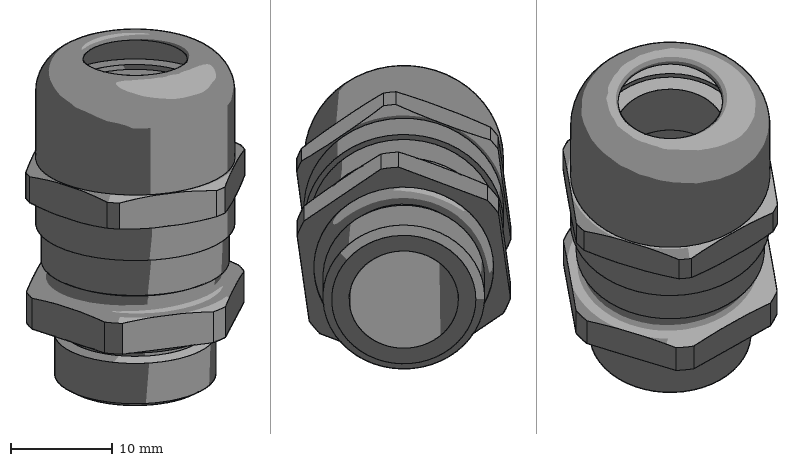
import cadquery as cq
import math

THREAD_CHAMFER_TOP = 0.55
THREAD_TOP = 4.83
UNDERCUT_BOTTOM = 5.25
FLANGE_BOTTOM = 7.05
FLANGE_TOP = 10.55
COLLAR_CHAMFER_BOTTOM = 12.2
COLLAR_BOTTOM = 12.6
CAP_BOTTOM = 16.53
CAP_HEX_BOTTOM = 20.05
CAP_HEX_TOP = 23.5
SPIGOT_TOP = 24.15
INSERT_STEP = 30.05
INSERT_TOP = 30.55
LIP_BOTTOM = 33.9
TOTAL_HEIGHT = 34.5

HEX_SIDES = 6
ACROSS_FLATS = 20.0
HEX_FACE_RADIUS = 10.1
CAP_HEX_CORNER_RADIUS = 11.2
CAP_HEX_CHAMFER = 0.35
FLANGE_CORNER_RADIUS = 11.07
FLANGE_CHAMFER = 0.25

BORE_RADIUS = 5.38
THREAD_RADIUS = 7.97
UNDERCUT_RADIUS = 7.1
NECK_RADIUS = 8.52
NECK_FILLET = 0.7
COLLAR_RADIUS = 9.28

RING_SECTION_RADIUS = 0.85
RING_BOTTOM = 6.05
RING_OUTER_RADIUS = 8.85
RING_CENTRE_RADIUS = RING_OUTER_RADIUS - RING_SECTION_RADIUS
RING_CENTRE_HEIGHT = RING_BOTTOM + RING_SECTION_RADIUS

INSERT_RADIUS = 8.45
INSERT_RECESS_RADIUS = 7.0

CAP_RADIUS = 9.83
DOME_ROUNDING = 3.97
LIP_RADIUS = 5.15
LIP_ROUNDING = 0.55

COS_45 = math.sqrt(0.5)


def cylinder(radius, bottom, top):
    """Solid cylinder on the gland axis between two heights."""
    return cq.Workplane("XY").workplane(offset=bottom).circle(radius).extrude(top - bottom)


def revolve_profile(profile):
    """Turn a closed XZ outline (radius, height) once around the gland axis."""
    return profile.close().revolve(360, (0, 0, 0), (0, 1, 0))


def hexagon(bottom, top, corner_radius, bottom_chamfer, top_chamfer):
    """Hexagonal prism, flats facing +X and -X, with its corners turned off round and chamfered."""
    height = top - bottom
    corner_diameter = ACROSS_FLATS / math.cos(math.pi / HEX_SIDES)
    prism = (
        cq.Workplane("XY")
        .workplane(offset=bottom)
        .transformed(rotate=(0, 0, 180 / HEX_SIDES))
        .polygon(HEX_SIDES, corner_diameter)
        .extrude(height)
    )
    blank = cq.Workplane("XZ").moveTo(0, bottom)
    if bottom_chamfer:
        blank = blank.lineTo(HEX_FACE_RADIUS, bottom)
    blank = (
        blank.lineTo(corner_radius, bottom + bottom_chamfer)
        .lineTo(corner_radius, top - top_chamfer)
        .lineTo(HEX_FACE_RADIUS, top)
        .lineTo(0, top)
    )
    return prism.intersect(revolve_profile(blank))


def make_sealing_ring():
    """O-ring around the undercut, below the flange."""
    section = cq.Workplane("XZ").center(RING_CENTRE_RADIUS, RING_CENTRE_HEIGHT).circle(RING_SECTION_RADIUS)
    return section.revolve(360, (-RING_CENTRE_RADIUS, 0, 0), (-RING_CENTRE_RADIUS, 1, 0))


def make_body():
    """Gland body: threaded end, hexagonal flange, neck, collar, spigot and O-ring groove."""
    fillet_radius = NECK_RADIUS + NECK_FILLET
    fillet_top = FLANGE_TOP + NECK_FILLET
    turned = revolve_profile(
        cq.Workplane("XZ")
        .moveTo(0, 0)
        .lineTo(UNDERCUT_RADIUS, 0)
        .lineTo(THREAD_RADIUS, THREAD_CHAMFER_TOP)
        .lineTo(THREAD_RADIUS, THREAD_TOP)
        .lineTo(UNDERCUT_RADIUS, UNDERCUT_BOTTOM)
        .lineTo(UNDERCUT_RADIUS, FLANGE_BOTTOM)
        .lineTo(fillet_radius, FLANGE_BOTTOM)
        .lineTo(fillet_radius, FLANGE_TOP)
        .threePointArc(
            (fillet_radius - NECK_FILLET * COS_45, fillet_top - NECK_FILLET * COS_45),
            (NECK_RADIUS, fillet_top),
        )
        .lineTo(NECK_RADIUS, COLLAR_CHAMFER_BOTTOM)
        .lineTo(COLLAR_RADIUS, COLLAR_BOTTOM)
        .lineTo(COLLAR_RADIUS, CAP_BOTTOM)
        .lineTo(INSERT_RADIUS, CAP_BOTTOM)
        .lineTo(INSERT_RADIUS, SPIGOT_TOP)
        .lineTo(0, SPIGOT_TOP)
    )
    flange = hexagon(FLANGE_BOTTOM, FLANGE_TOP, FLANGE_CORNER_RADIUS, 0, FLANGE_CHAMFER)
    bore = cylinder(BORE_RADIUS, 0, SPIGOT_TOP)
    return turned.union(flange).cut(bore).cut(make_sealing_ring())


def make_clamping_insert():
    """Clamping insert on top of the body, with a shallow recess in its upper face."""
    recess = cylinder(INSERT_RECESS_RADIUS, INSERT_STEP, INSERT_TOP)
    bore = cylinder(BORE_RADIUS, SPIGOT_TOP, INSERT_TOP)
    return cylinder(INSERT_RADIUS, SPIGOT_TOP, INSERT_TOP).cut(recess).cut(bore)


def make_cap():
    """Domed cap with a hexagon, a rounded opening and a cavity tapering up to the lip."""
    dome_centre_radius = CAP_RADIUS - DOME_ROUNDING
    dome_centre_height = TOTAL_HEIGHT - DOME_ROUNDING
    lip_centre_radius = LIP_RADIUS + LIP_ROUNDING
    lip_centre_height = TOTAL_HEIGHT - LIP_ROUNDING
    shell = revolve_profile(
        cq.Workplane("XZ")
        .moveTo(INSERT_RADIUS, CAP_BOTTOM)
        .lineTo(CAP_RADIUS, CAP_BOTTOM)
        .lineTo(CAP_RADIUS, dome_centre_height)
        .threePointArc(
            (dome_centre_radius + DOME_ROUNDING * COS_45, dome_centre_height + DOME_ROUNDING * COS_45),
            (dome_centre_radius, TOTAL_HEIGHT),
        )
        .lineTo(lip_centre_radius, TOTAL_HEIGHT)
        .threePointArc(
            (lip_centre_radius - LIP_ROUNDING * COS_45, lip_centre_height + LIP_ROUNDING * COS_45),
            (LIP_RADIUS, lip_centre_height),
        )
        .lineTo(LIP_RADIUS, LIP_BOTTOM)
        .lineTo(INSERT_RADIUS, INSERT_TOP)
    )
    hexagon_collar = hexagon(
        CAP_HEX_BOTTOM, CAP_HEX_TOP, CAP_HEX_CORNER_RADIUS, CAP_HEX_CHAMFER, CAP_HEX_CHAMFER
    ).cut(cylinder(INSERT_RADIUS, CAP_HEX_BOTTOM, CAP_HEX_TOP))
    return shell.union(hexagon_collar)


body = make_body()
sealing_ring = make_sealing_ring()
clamping_insert = make_clamping_insert()
cap = make_cap()

result = cq.Compound.makeCompound(
    [body.val(), sealing_ring.val(), clamping_insert.val(), cap.val()]
)